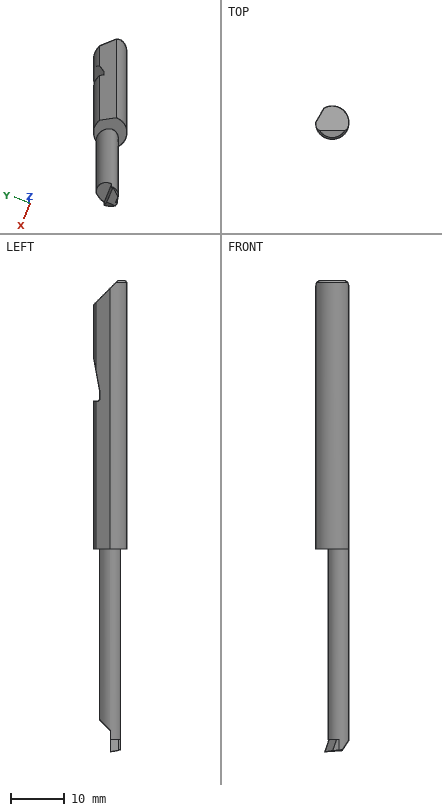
import cadquery as cq
import math

total_length = 88.9
neck_length = 38.2

shank_radius = 3.16
top_chamfer = 0.4
flat_direction = 150.0
flat_half_angle = 30.0
bevel_drop = 4.6

notch_depth = 1.2
notch_bottom = 66.1
notch_ramp_start = 68.0
notch_top = 74.3
notch_round = 0.45

neck_radius = 2.0
neck_center_x = shank_radius - neck_radius
back_radius = 2.5
back_height = 2.05
half_cut_height = 4.0

tooth_height = 2.3
tooth_tip_x = -1.4
tooth_shoulder_x = -0.6
tooth_wall_x = 1.29
tooth_thickness = 1.6
side_relief = 1.4
end_relief_angle = 6.0
end_clearance_angle = 4.0
corner_x = 1.7
corner_height = 2.2

clearance = 2 * shank_radius


def prism_along_x(profile):
    """Extrude a closed YZ profile through the whole part."""
    return profile.close().extrude(clearance, both=True)


def make_shank():
    shank = (
        cq.Workplane("XY")
        .workplane(offset=neck_length)
        .circle(shank_radius)
        .extrude(total_length - neck_length)
        .faces(">Z")
        .chamfer(top_chamfer)
    )

    flat_distance = shank_radius * math.cos(math.radians(flat_half_angle))
    flat_cutter = (
        cq.Workplane("XY")
        .box(clearance, 2 * clearance, total_length, centered=(False, True, False))
        .translate((flat_distance, 0, 0))
        .rotate((0, 0, 0), (0, 0, 1), flat_direction)
    )

    bevel_reach = bevel_drop + clearance
    bevel_cutter = prism_along_x(
        cq.Workplane("YZ")
        .moveTo(shank_radius - bevel_reach, total_length + clearance)
        .lineTo(shank_radius + clearance, total_length - bevel_reach)
        .lineTo(shank_radius + clearance, total_length + clearance)
    )

    notch_floor_y = shank_radius - notch_depth
    notch_cutter = prism_along_x(
        cq.Workplane("YZ")
        .moveTo(shank_radius, notch_top)
        .lineTo(notch_floor_y, notch_ramp_start)
        .lineTo(notch_floor_y, notch_bottom + notch_round)
        .radiusArc((notch_floor_y + notch_round, notch_bottom), -notch_round)
        .lineTo(shank_radius + clearance, notch_bottom)
        .lineTo(shank_radius + clearance, notch_top)
    )
    return shank.cut(flat_cutter).cut(bevel_cutter).cut(notch_cutter)


def make_neck():
    front_half = (
        cq.Workplane("XY")
        .moveTo(shank_radius, 0)
        .threePointArc((neck_center_x, -neck_radius), (neck_center_x - neck_radius, 0))
        .close()
        .extrude(neck_length)
    )

    back_center_y = back_height - back_radius
    back_center_x = neck_center_x - neck_radius + math.sqrt(back_radius**2 - back_center_y**2)
    above_crease = cq.Workplane("XY").box(
        2 * clearance, clearance, neck_length, centered=(True, False, False)
    )
    back_half = (
        cq.Workplane("XY")
        .center(back_center_x, back_center_y)
        .circle(back_radius)
        .extrude(neck_length)
        .intersect(cq.Workplane("XY").circle(shank_radius).extrude(neck_length))
        .intersect(above_crease)
    )
    neck = front_half.union(back_half)

    half_cutter = prism_along_x(
        cq.Workplane("YZ")
        .moveTo(0, -clearance)
        .lineTo(0, half_cut_height)
        .lineTo(clearance, half_cut_height + clearance)
        .lineTo(clearance, -clearance)
    )

    tooth_space = (
        cq.Workplane("XY")
        .box(clearance, 2 * clearance, tooth_height, centered=(False, True, False))
        .translate((tooth_wall_x - clearance, 0, 0))
    )
    corner_cutter = (
        cq.Workplane("XZ")
        .moveTo(corner_x, 0)
        .lineTo(shank_radius, corner_height)
        .lineTo(shank_radius + clearance, corner_height)
        .lineTo(shank_radius + clearance, 0)
        .close()
        .extrude(clearance, both=True)
    )
    return neck.cut(half_cutter).cut(tooth_space).cut(corner_cutter)


def make_tooth():
    """Tooth with its rake face at Y = 0, narrowing toward -Y for side relief."""

    def outline(side_shift):
        return [
            (tooth_tip_x + side_shift, 0),
            (tooth_shoulder_x + side_shift, tooth_height),
            (tooth_wall_x, tooth_height),
            (tooth_wall_x, 0),
        ]

    return (
        cq.Workplane("XZ")
        .polyline(outline(0))
        .close()
        .workplane(offset=tooth_thickness)
        .polyline(outline(side_relief))
        .close()
        .loft(ruled=True)
    )


def make_end_cutter():
    """Block whose tilted top face passes through the tooth tip."""
    return (
        cq.Workplane("XY")
        .box(2 * clearance, 2 * clearance, clearance, centered=(True, True, False))
        .translate((0, 0, -clearance))
        .rotate((0, 0, 0), (1, 0, 0), -end_relief_angle)
        .rotate((0, 0, 0), (0, 1, 0), -end_clearance_angle)
        .translate((tooth_tip_x, 0, 0))
    )


result = make_shank().union(make_neck()).union(make_tooth()).cut(make_end_cutter())